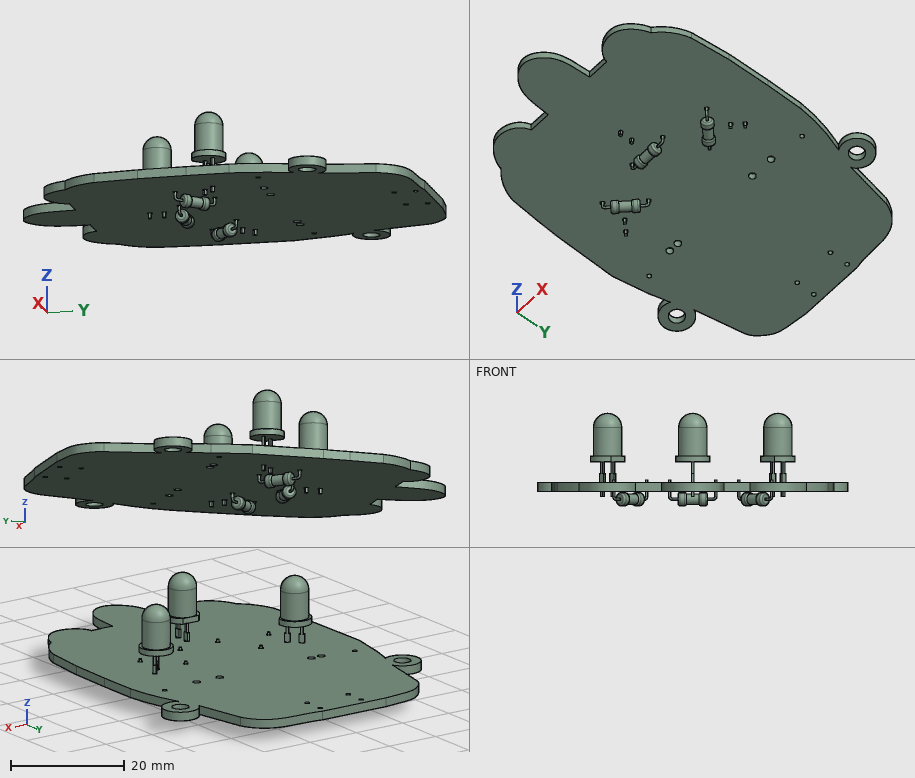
import cadquery as cq
import math

BOARD_THICKNESS = 1.6
BOARD_HALF_LENGTH = 37
BROW_FLAT_LEFT = (-8.5, BOARD_HALF_LENGTH)
BROW_FLAT_RIGHT = (5.2, BOARD_HALF_LENGTH)
TEMPLE_X = 19.1
TEMPLE_Y = 31.5
NECK_X = 21.0
NECK_Y = 21.45
CHEEK_X = 22.6
CHEEK_Y = 16.8
BELLY_X = 24.9
HIP_X = 23.9
HIP_Y = -18.5
CROTCH_Y = -26.25
FOOT_INNER_X = 10.05
FOOT_OUTER = (20.0, -24.6)
TAIL_HALF_WIDTH = 5.55

EAR_X = 24.0
EAR_Y = 20.25
EAR_RADIUS = 3.3
EAR_HOLE_DIAMETER = 3.0

LEAD_HOLE_DIAMETER = 0.8
WIRE_HOLE_DIAMETER = 1.3
BROW_HOLES = [(x, y) for x in (-4.4, 4.4) for y in (31.3, 35.2)]
CHEEK_HOLES = [(-20.55, 10.7), (20.5, 10.5)]
WIRE_HOLES = [(x, 9.75) for x in (-14.0, -11.8, 8.05, 13.0)]

LED_RADIUS = 2.5
LED_TOP_Z = 13.8
FLANGE_RADIUS = 3.0
FLANGE_BOTTOM_Z = 5.25
FLANGE_THICKNESS = 1.0
LEAD_PITCH = 2.6
LEAD_SIZE = 0.5
LEAD_BOTTOM_Z = -0.9
STANDOFF_WIDTH = 1.0
STANDOFF_TOP_Z = 3.2
LED_PLACES = [(-15.0, 0.2, -45), (15.0, 0.2, -135), (0, -12.8, 90)]

RESISTOR_PITCH = 8.1
RESISTOR_LENGTH = 5.2
RESISTOR_AXIS_Z = -1.3
CAP_RADIUS = 1.2
CAP_LENGTH = 1.5
CAP_ROUNDING = 0.4
BARREL_RADIUS = 0.95
WIRE_DIAMETER = 0.45
WIRE_BEND_RADIUS = 0.5
WIRE_TOP_Z = BOARD_THICKNESS + 0.45
RESISTOR_PLACES = [(-11.0, -3.25, 45), (11.0, -3.25, -45), (0, -7.75, 0)]


def turned(x, y, angle):
    """The point (x, y) turned about the origin by an angle in degrees."""
    a = math.radians(angle)
    return (x * math.cos(a) - y * math.sin(a), x * math.sin(a) + y * math.cos(a))


def lead_places(places, pitch):
    """The two lead centres of every two-lead component."""
    points = []
    for x, y, angle in places:
        for side in (-1, 1):
            dx, dy = turned(side * pitch / 2, 0, angle)
            points.append((x + dx, y + dy))
    return points


def board_outline():
    """Clockwise from the left end of the flat top: brow, right side, feet, tail, left side."""
    return (
        cq.Workplane("XY")
        .moveTo(*BROW_FLAT_LEFT)
        .lineTo(*BROW_FLAT_RIGHT)
        .spline([(10.0, 36.6), (14.2, 36.15), (16.5, 35.1), (18.05, 33.5), (TEMPLE_X, TEMPLE_Y)],
                includeCurrent=True)
        .lineTo(NECK_X, NECK_Y)
        .lineTo(CHEEK_X, CHEEK_Y)
        .threePointArc((24.1, 11.8), (BELLY_X, 6.3))
        .lineTo(BELLY_X, -1.5)
        .lineTo(24.7, -10.35)
        .lineTo(HIP_X, HIP_Y)
        .threePointArc((22.4, -21.95), FOOT_OUTER)
        .spline([(18.8, -27.2), (15.8, -29.5), (12.6, -29.2), (FOOT_INNER_X, CROTCH_Y)],
                includeCurrent=True)
        .lineTo(TAIL_HALF_WIDTH, CROTCH_Y)
        .spline([(5.3, -29.95), (4.1, -34.3), (0, -BOARD_HALF_LENGTH), (-4.1, -34.3), (-5.3, -29.95),
                 (-TAIL_HALF_WIDTH, CROTCH_Y)], includeCurrent=True)
        .lineTo(-FOOT_INNER_X, CROTCH_Y)
        .spline([(-12.6, -29.2), (-15.8, -29.5), (-18.8, -27.2), (-FOOT_OUTER[0], FOOT_OUTER[1])],
                includeCurrent=True)
        .threePointArc((-22.4, -21.95), (-HIP_X, HIP_Y))
        .lineTo(-24.4, -12.2)
        .lineTo(-24.7, -7.25)
        .lineTo(-BELLY_X, 5.9)
        .lineTo(-23.6, 13.15)
        .lineTo(-CHEEK_X, CHEEK_Y)
        .lineTo(-NECK_X, NECK_Y)
        .lineTo(-TEMPLE_X, TEMPLE_Y)
        .spline([(-18.4, 33.1), (-17.2, 34.45), (-15.7, 35.6), (-13.3, 36.4), BROW_FLAT_LEFT],
                includeCurrent=True)
        .close()
    )


def board_discs(centres, radius):
    """Discs as thick as the board."""
    return cq.Workplane("XY").pushPoints(centres).circle(radius).extrude(BOARD_THICKNESS)


def make_board():
    ears = [(-EAR_X, EAR_Y), (EAR_X, EAR_Y)]
    lead_holes = lead_places(LED_PLACES, LEAD_PITCH) + lead_places(RESISTOR_PLACES, RESISTOR_PITCH)
    holes = [
        (ears, EAR_HOLE_DIAMETER),
        (WIRE_HOLES, WIRE_HOLE_DIAMETER),
        (BROW_HOLES + CHEEK_HOLES + lead_holes, LEAD_HOLE_DIAMETER),
    ]
    board = board_outline().extrude(BOARD_THICKNESS)
    board = board.union(board_discs(ears, EAR_RADIUS))
    for places, diameter in holes:
        board = board.cut(board_discs(places, diameter / 2))
    return board


def upright_box(x, width, bottom, top):
    """A lead section centred on (x, 0), as thick as a lead."""
    return (
        cq.Workplane("XY", origin=(x, 0, bottom))
        .rect(width, LEAD_SIZE)
        .extrude(top - bottom)
    )


def make_led():
    """LED on the Z axis with its flat and its two leads along X."""
    flange = (
        cq.Workplane("XY", origin=(0, 0, FLANGE_BOTTOM_Z))
        .circle(FLANGE_RADIUS)
        .extrude(FLANGE_THICKNESS)
    )
    beyond_flat = (
        cq.Workplane("XY", origin=(LED_RADIUS + FLANGE_RADIUS, 0, FLANGE_BOTTOM_Z))
        .rect(2 * FLANGE_RADIUS, 2 * FLANGE_RADIUS)
        .extrude(FLANGE_THICKNESS)
    )
    dome_base_z = LED_TOP_Z - LED_RADIUS
    lens = (
        cq.Workplane("XZ")
        .moveTo(0, FLANGE_BOTTOM_Z)
        .lineTo(LED_RADIUS, FLANGE_BOTTOM_Z)
        .lineTo(LED_RADIUS, dome_base_z)
        .radiusArc((0, LED_TOP_Z), -LED_RADIUS)
        .close()
        .revolve(360, (0, 0), (0, 1))
    )
    led = flange.cut(beyond_flat).union(lens)
    for x in (-LEAD_PITCH / 2, LEAD_PITCH / 2):
        led = led.union(upright_box(x, LEAD_SIZE, LEAD_BOTTOM_Z, FLANGE_BOTTOM_Z))
        led = led.union(upright_box(x, STANDOFF_WIDTH, BOARD_THICKNESS, STANDOFF_TOP_Z))
    return led


def make_resistor():
    """Resistor along X, centred on the Z axis, with its two wires bent up through the board."""
    lead_x = RESISTOR_PITCH / 2
    bend_offset = WIRE_BEND_RADIUS * (1 - math.cos(math.radians(45)))
    wire_path = (
        cq.Workplane("XZ")
        .moveTo(-lead_x, WIRE_TOP_Z)
        .lineTo(-lead_x, RESISTOR_AXIS_Z + WIRE_BEND_RADIUS)
        .threePointArc(
            (-lead_x + bend_offset, RESISTOR_AXIS_Z + bend_offset),
            (-lead_x + WIRE_BEND_RADIUS, RESISTOR_AXIS_Z),
        )
        .lineTo(0, RESISTOR_AXIS_Z)
    )
    wire = (
        cq.Workplane("XY", origin=(-lead_x, 0, WIRE_TOP_Z))
        .circle(WIRE_DIAMETER / 2)
        .sweep(wire_path)
    )
    cap = (
        cq.Workplane("YZ", origin=(-RESISTOR_LENGTH / 2, 0, RESISTOR_AXIS_Z))
        .circle(CAP_RADIUS)
        .extrude(CAP_LENGTH)
        .edges()
        .fillet(CAP_ROUNDING)
    )
    half = wire.union(cap)
    barrel_length = RESISTOR_LENGTH - CAP_LENGTH
    barrel = (
        cq.Workplane("YZ", origin=(-barrel_length / 2, 0, RESISTOR_AXIS_Z))
        .circle(BARREL_RADIUS)
        .extrude(barrel_length)
    )
    return barrel.union(half).union(half.mirror("YZ"))


def placed_copies(body, places):
    """One separate solid per (x, y, angle)."""
    return [
        body.rotate((0, 0, 0), (0, 0, 1), angle).translate((x, y, 0)).val()
        for x, y, angle in places
    ]


board = make_board()
leds = placed_copies(make_led(), LED_PLACES)
resistors = placed_copies(make_resistor(), RESISTOR_PLACES)

result = cq.Compound.makeCompound([board.val(), *leds, *resistors])